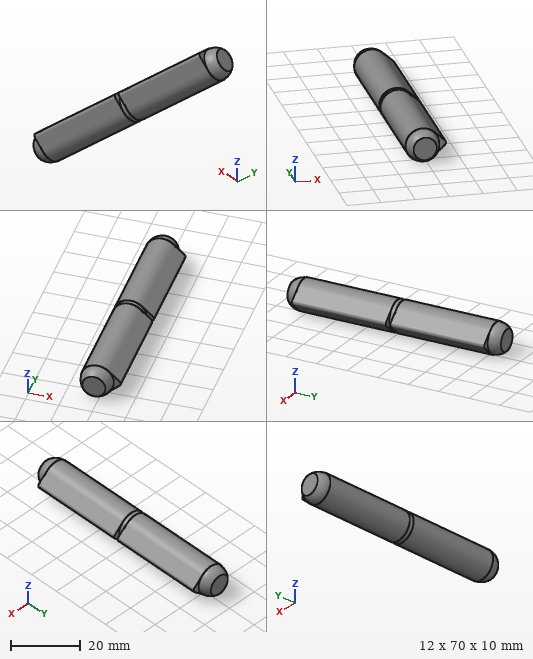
import cadquery as cq
import math

total_length = 70.0
leaf_radius = 5.005
leaf_end = 31.5
leaf_gap = 1.5
pin_radius = 4.9
tip_x = 6.965
tip_radius = 1.0

half_length = total_length / 2
dome_length = half_length - leaf_end
end_face_radius = math.sqrt(pin_radius**2 - dome_length**2)

tip_center_x = tip_x - tip_radius
tangent_angle = math.acos((leaf_radius - tip_radius) / tip_center_x)
flank_start_x = leaf_radius * math.cos(tangent_angle)
flank_start_z = leaf_radius * math.sin(tangent_angle)
flank_end_x = tip_center_x + tip_radius * math.cos(tangent_angle)
flank_end_z = tip_radius * math.sin(tangent_angle)


def make_pin():
    """Round pin whose ends are spherical domes cut off by flat faces."""
    dome_middle = dome_length / 2
    dome_middle_radius = math.sqrt(pin_radius**2 - dome_middle**2)
    return (
        cq.Workplane("XY")
        .moveTo(0, -half_length)
        .lineTo(end_face_radius, -half_length)
        .threePointArc((dome_middle_radius, -leaf_end - dome_middle), (pin_radius, -leaf_end))
        .lineTo(pin_radius, leaf_end)
        .threePointArc((dome_middle_radius, leaf_end + dome_middle), (end_face_radius, half_length))
        .lineTo(0, half_length)
        .close()
        .revolve(360, (0, 0, 0), (0, 1, 0))
    )


def make_leaf(start_y, end_y):
    """Teardrop prism between two positions along the pin, pointing to +X."""
    return (
        cq.Workplane("XZ", origin=(0, start_y, 0))
        .moveTo(flank_start_x, flank_start_z)
        .threePointArc((-leaf_radius, 0), (flank_start_x, -flank_start_z))
        .lineTo(flank_end_x, -flank_end_z)
        .threePointArc((tip_x, 0), (flank_end_x, flank_end_z))
        .close()
        .extrude(start_y - end_y)
    )


result = make_pin()
result = result.union(make_leaf(-leaf_end, -leaf_gap / 2))
result = result.union(make_leaf(leaf_gap / 2, leaf_end))